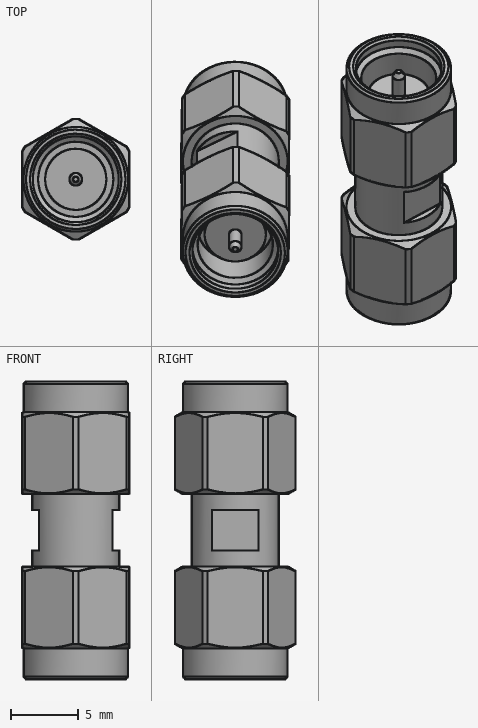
import cadquery as cq
import math

TOTAL_LENGTH = 22.2
HALF_LENGTH = TOTAL_LENGTH / 2

BODY_RADIUS = 6.5 / 2
FLAT_SPACING = 5.5
FLAT_LENGTH = 3.0

COLLAR_RADIUS = 7.8 / 2
COLLAR_LENGTH = 2.3
COLLAR_CHAMFER = 0.2
HEX_SIDES = 6
HEX_WIDTH = 8.0
HEX_CORNER_DIAMETER = 9.0
HEX_LENGTH = 6.1
HEX_CHAMFER_ANGLE = 30.0

MOUTH_RADIUS = 3.4
MOUTH_CHAMFER = 0.2
COUNTERBORE_RADIUS = MOUTH_RADIUS - MOUTH_CHAMFER
COUNTERBORE_DEPTH = 0.85
BORE_RADIUS = 2.8
BORE_DEPTH = 3.8
SHOULDER_ANGLE = 37.0

INSERT_RADIUS = 4.56 / 2
INSERT_TOP_DEPTH = 2.7
PIN_RADIUS = 0.94 / 2
PIN_TIP_RADIUS = 0.2
PIN_TIP_DEPTH = 0.5
PIN_CONE_LENGTH = 0.43

COLLAR_BASE_Z = HALF_LENGTH - COLLAR_LENGTH
HEX_BASE_Z = COLLAR_BASE_Z - HEX_LENGTH


def revolve_profile(points):
    """Revolve a closed (radius, z) outline about the Z axis."""
    return cq.Workplane("XZ").polyline(points).close().revolve(360, (0, 0), (0, 1))


def cylinder(radius, bottom_z, top_z):
    return cq.Workplane("XY").workplane(offset=bottom_z).circle(radius).extrude(top_z - bottom_z)


def make_body():
    """Central barrel with a flat milled into its -X and +X sides."""
    barrel = cylinder(BODY_RADIUS, -HEX_BASE_Z, HEX_BASE_Z)
    cut_depth = BODY_RADIUS - FLAT_SPACING / 2
    cut_center = FLAT_SPACING / 2 + cut_depth / 2
    for side in (-1, 1):
        cutter = cq.Workplane("XY").box(cut_depth, 2 * BODY_RADIUS, FLAT_LENGTH)
        barrel = barrel.cut(cutter.translate((side * cut_center, 0, 0)))
    return barrel


def make_hexagon():
    """Hexagon with flats facing -X and +X, turned corners and ends chamfered down to the collar radius."""
    half_side_angle = 180 / HEX_SIDES
    circumscribed_diameter = HEX_WIDTH / math.cos(math.radians(half_side_angle))
    prism = (
        cq.Workplane("XY")
        .workplane(offset=HEX_BASE_Z)
        .transformed(rotate=(0, 0, half_side_angle))
        .polygon(HEX_SIDES, circumscribed_diameter)
        .extrude(HEX_LENGTH)
    )
    corner_radius = HEX_CORNER_DIAMETER / 2
    chamfer_height = (corner_radius - COLLAR_RADIUS) * math.tan(math.radians(HEX_CHAMFER_ANGLE))
    turned_envelope = revolve_profile([
        (0, HEX_BASE_Z),
        (COLLAR_RADIUS, HEX_BASE_Z),
        (corner_radius, HEX_BASE_Z + chamfer_height),
        (corner_radius, COLLAR_BASE_Z - chamfer_height),
        (COLLAR_RADIUS, COLLAR_BASE_Z),
        (0, COLLAR_BASE_Z),
    ])
    return prism.intersect(turned_envelope)


def make_collar():
    collar = cylinder(COLLAR_RADIUS, COLLAR_BASE_Z, HALF_LENGTH)
    return collar.faces(">Z").edges().chamfer(COLLAR_CHAMFER)


def make_bore():
    """Cavity with a chamfered mouth, a counterbore and a conical shoulder."""
    floor_z = HALF_LENGTH - BORE_DEPTH
    counterbore_z = HALF_LENGTH - COUNTERBORE_DEPTH
    shoulder_height = (COUNTERBORE_RADIUS - BORE_RADIUS) * math.tan(math.radians(SHOULDER_ANGLE))
    return revolve_profile([
        (0, floor_z),
        (BORE_RADIUS, floor_z),
        (BORE_RADIUS, counterbore_z - shoulder_height),
        (COUNTERBORE_RADIUS, counterbore_z),
        (COUNTERBORE_RADIUS, HALF_LENGTH - MOUTH_CHAMFER),
        (MOUTH_RADIUS, HALF_LENGTH),
        (0, HALF_LENGTH),
    ])


def make_contact():
    """Round insert standing on the bore floor, with a centre pin ending in a blunt cone."""
    floor_z = HALF_LENGTH - BORE_DEPTH
    insert_top_z = HALF_LENGTH - INSERT_TOP_DEPTH
    tip_z = HALF_LENGTH - PIN_TIP_DEPTH
    return revolve_profile([
        (0, floor_z),
        (INSERT_RADIUS, floor_z),
        (INSERT_RADIUS, insert_top_z),
        (PIN_RADIUS, insert_top_z),
        (PIN_RADIUS, tip_z - PIN_CONE_LENGTH),
        (PIN_TIP_RADIUS, tip_z),
        (0, tip_z),
    ])


def make_connector_end():
    nut = make_hexagon().union(make_collar())
    return nut.cut(make_bore()).union(make_contact())


upper_end = make_connector_end()
lower_end = upper_end.mirror("XY")
result = make_body().union(upper_end).union(lower_end)